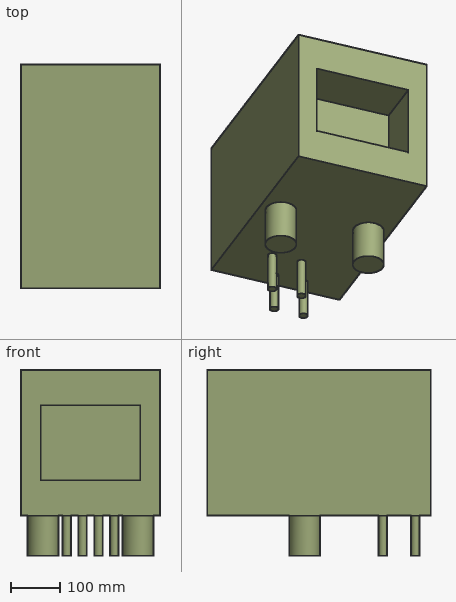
import cadquery as cq

width = 284.5
length = 457.0
total_height = 380.0
leg_length = 82.5
body_height = total_height - leg_length

socket_width = 202.5
socket_height = 152.2
socket_floor = 72.5
socket_depth = 103.0

post_diameter = 63.5
post_spacing = 194.0
post_y = 199.5

pin_diameter = 18.0
pin_count = 4
pin_pitch = 32.5
front_row_y = 359.0
row_spacing = 66.5


def legs(points, diameter):
    """Round legs hanging from the underside of the housing."""
    return cq.Workplane("XY").pushPoints(points).circle(diameter / 2).extrude(-leg_length)


body = cq.Workplane("XY").box(width, length, body_height, centered=(True, False, False))

socket = (
    cq.Workplane("XY")
    .box(socket_width, socket_depth, socket_height, centered=(True, False, False))
    .translate((0, 0, socket_floor))
)

post_points = [(side * post_spacing / 2, post_y) for side in (-1, 1)]

first_pin_x = -(pin_count - 1) * pin_pitch / 2
pin_points = [
    (first_pin_x + index * pin_pitch, front_row_y + (index % 2) * row_spacing)
    for index in range(pin_count)
]

result = (
    body.cut(socket)
    .union(legs(post_points, post_diameter))
    .union(legs(pin_points, pin_diameter))
)